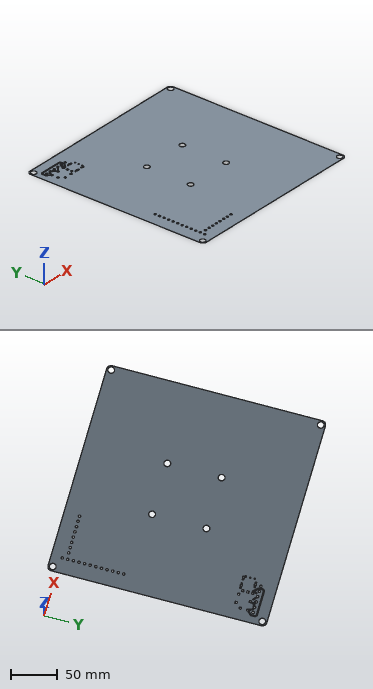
import cadquery as cq

SIDE = 244.0
THICKNESS = 0.03
CORNER_RADIUS = 5.0

CORNER_HOLE_DIAMETER = 7.0
CORNER_HOLE_INSET = 5.25
CENTRE_HOLE_DIAMETER = 7.1
CENTRE_HOLE_SPACING = 60.5
CENTRE_HOLE_OFFSET = (-0.2, 0.2)

PIN_DIAMETER = 2.4
PIN_PITCH = 6.25
PIN_LINE = 104.5
PIN_START = -109.65
TOP_ROW_PINS = range(0, 6)
LEFT_COLUMN_PINS = range(0, 12)
BOTTOM_ROW_PINS = range(2, 10)

WINDOW_SIDE = 2.0
WINDOW_PITCH = 10.0
WINDOW_COUNT = 4
WINDOW_LEFT = -108.5
WINDOW_TOP = 98.3
WINDOW_BOTTOM = 83.9
LEFT_WINDOW_Y = 89.9
INNER_COLUMN_X = WINDOW_LEFT + 2 * WINDOW_PITCH
INNER_COLUMN_YS = (92.9, 87.2)

SMALL_SIDE = 1.2
SMALL_PITCH = 5.0
SMALL_COUNT = 3
SMALL_LEFT = INNER_COLUMN_X + SMALL_PITCH / 2
SMALL_COLUMN_X = -72.0
SMALL_COLUMN_TOP = 95.9

SLOT_WIDTH = 0.85
LOOP_LEFT = -113.2
LOOP_RIGHT = -81.4
LOOP_TOP = 109.2
LOOP_BOTTOM = 101.4
LOOP_TOP_CUT = 1.4
LOOP_END_DROP = 1.6
LINK_LEVEL = 103.3
FIRST_LINK_BEND_X = -106.2
SECOND_LINK_BEND_X = -100.2
STUB_END = (-95.2, 100.7)
SHORT_SLOT_START = (-87.5, 102.3)


def pin_position(index):
    """Coordinate of a small hole along its row."""
    return PIN_START + index * PIN_PITCH


def square_grid(spacing, centre=(0, 0)):
    """The four corners of a square around a centre point."""
    centre_x, centre_y = centre
    shifts = (-spacing / 2, spacing / 2)
    return [(centre_x + dx, centre_y + dy) for dx in shifts for dy in shifts]


def round_cutters(points, diameter):
    return cq.Workplane("XY").pushPoints(points).circle(diameter / 2).extrude(THICKNESS)


def square_cutters(points, side):
    return cq.Workplane("XY").pushPoints(points).rect(side, side).extrude(THICKNESS)


def slot_cutter(points):
    """Constant-width slot with round ends and corners along a chain of points."""
    cutter = round_cutters(points, SLOT_WIDTH)
    for start, end in zip(points, points[1:]):
        run = cq.Vector(*end) - cq.Vector(*start)
        middle = (cq.Vector(*end) + cq.Vector(*start)) * 0.5
        plane = cq.Plane(origin=middle.toTuple(), xDir=run.toTuple(), normal=(0, 0, 1))
        cutter = cutter.union(cq.Workplane(plane).rect(run.Length, SLOT_WIDTH).extrude(THICKNESS))
    return cutter


def pin_points():
    top_row = [(pin_position(i), PIN_LINE) for i in TOP_ROW_PINS]
    left_column = [(-PIN_LINE, pin_position(i)) for i in LEFT_COLUMN_PINS]
    bottom_row = [(pin_position(i), -PIN_LINE) for i in BOTTOM_ROW_PINS]
    return top_row + left_column + bottom_row


def window_points():
    top_xs = [WINDOW_LEFT + i * WINDOW_PITCH for i in range(WINDOW_COUNT)]
    top_row = [(x, WINDOW_TOP) for x in top_xs]
    bottom_row = [(x + WINDOW_PITCH / 2, WINDOW_BOTTOM) for x in top_xs]
    inner_column = [(INNER_COLUMN_X, y) for y in INNER_COLUMN_YS]
    return top_row + bottom_row + inner_column + [(WINDOW_LEFT, LEFT_WINDOW_Y)]


def small_window_points():
    steps = [i * SMALL_PITCH for i in range(SMALL_COUNT)]
    rows = [(SMALL_LEFT + s, y) for s in steps for y in (WINDOW_TOP, WINDOW_BOTTOM)]
    column = [(SMALL_COLUMN_X, SMALL_COLUMN_TOP - s) for s in steps]
    return rows + column


def slot_paths():
    first_window = (WINDOW_LEFT, WINDOW_TOP)
    second_window = (WINDOW_LEFT + WINDOW_PITCH, WINDOW_TOP)
    first_small = (SMALL_LEFT, WINDOW_TOP)
    loop = [
        first_window,
        (LOOP_LEFT + LOOP_END_DROP, LOOP_BOTTOM),
        (LOOP_LEFT, LOOP_BOTTOM + LOOP_END_DROP),
        (LOOP_LEFT, LOOP_TOP - LOOP_TOP_CUT),
        (LOOP_LEFT + LOOP_TOP_CUT, LOOP_TOP),
        (LOOP_RIGHT - LOOP_TOP_CUT, LOOP_TOP),
        (LOOP_RIGHT, LOOP_TOP - LOOP_TOP_CUT),
        (LOOP_RIGHT, LOOP_BOTTOM + LOOP_END_DROP),
        (LOOP_RIGHT - LOOP_END_DROP, LOOP_BOTTOM),
        first_small,
    ]
    first_link = [
        (pin_position(1), PIN_LINE),
        (FIRST_LINK_BEND_X, LINK_LEVEL),
        first_window,
    ]
    second_link = [
        (pin_position(1), LINK_LEVEL),
        (SECOND_LINK_BEND_X, LINK_LEVEL),
        second_window,
    ]
    third_link = [(pin_position(2), LINK_LEVEL), (SECOND_LINK_BEND_X, LINK_LEVEL)]
    stub = [(pin_position(3), PIN_LINE), STUB_END]
    short_slot = [SHORT_SLOT_START, first_small]
    return [loop, first_link, second_link, third_link, stub, short_slot]


corner_points = square_grid(SIDE - 2 * CORNER_HOLE_INSET)
centre_points = square_grid(CENTRE_HOLE_SPACING, CENTRE_HOLE_OFFSET)

result = (
    cq.Workplane("XY")
    .box(SIDE, SIDE, THICKNESS, centered=(True, True, False))
    .edges("|Z")
    .fillet(CORNER_RADIUS)
    .cut(round_cutters(corner_points, CORNER_HOLE_DIAMETER))
    .cut(round_cutters(centre_points, CENTRE_HOLE_DIAMETER))
    .cut(round_cutters(pin_points(), PIN_DIAMETER))
    .cut(square_cutters(window_points(), WINDOW_SIDE))
    .cut(square_cutters(small_window_points(), SMALL_SIDE))
)
for path in slot_paths():
    result = result.cut(slot_cutter(path))